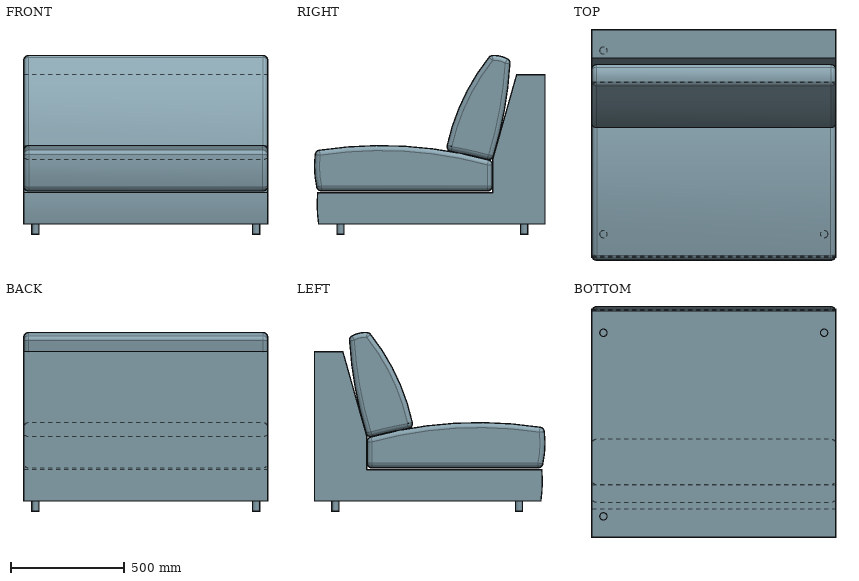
import cadquery as cq

WIDTH = 1080.0
EDGE_RADIUS = 23.0
SIDE_RADIUS = 22.0

LEG_HEIGHT = 45.0
LEG_DIAMETER = 32.0
LEG_X = 488.0
LEG_FRONT_Y = -905.0
LEG_REAR_Y = -93.0

FRAME_TOP_Z = 707.0
FRAME_TOP_DEPTH = 126.0
BACKREST_FOOT_DEPTH = 232.0
BACKREST_FOOT_Z = 333.0
DECK_Z = 185.0
DECK_FRONT_DEPTH = 1007.0
FRAME_BOTTOM_DEPTH = 1002.0
FRAME_FRONT_BULGE_DEPTH = 1009.0

SEAT_GAP = 8.0
SEAT_BOTTOM_Z = DECK_Z + SEAT_GAP
SEAT_REAR_BOTTOM = (-233.0, SEAT_BOTTOM_Z)
SEAT_REAR_TOP = (-233.0, 325.0)
SEAT_CROWN = (-626.0, 391.0)
SEAT_FRONT_TOP = (-1015.0, 370.0)
SEAT_FRONT_BULGE = (-1021.0, 286.0)
SEAT_FRONT_BOTTOM = (-1007.0, SEAT_BOTTOM_Z)

BACK_REAR_BOTTOM = (-238.0, 319.0)
BACK_REAR_BULGE = (-187.0, 513.0)
BACK_REAR_TOP = (-154.0, 769.0)
BACK_TOP_BULGE = (-201.0, 790.0)
BACK_FRONT_TOP = (-243.0, 791.0)
BACK_FRONT_BULGE = (-365.0, 596.0)
BACK_FRONT_BOTTOM = (-440.0, 365.0)


def extrude_across(profile):
    """Extrude a closed YZ profile over the full width, centred on x = 0."""
    return profile.close().extrude(WIDTH / 2, both=True)


def make_frame():
    """L-shaped frame with a sloping backrest and a slightly bowed front."""
    middle_z = (LEG_HEIGHT + DECK_Z) / 2
    profile = (
        cq.Workplane("YZ")
        .moveTo(0, LEG_HEIGHT)
        .lineTo(0, FRAME_TOP_Z)
        .lineTo(-FRAME_TOP_DEPTH, FRAME_TOP_Z)
        .lineTo(-BACKREST_FOOT_DEPTH, BACKREST_FOOT_Z)
        .lineTo(-BACKREST_FOOT_DEPTH, DECK_Z)
        .lineTo(-DECK_FRONT_DEPTH, DECK_Z)
        .threePointArc((-FRAME_FRONT_BULGE_DEPTH, middle_z), (-FRAME_BOTTOM_DEPTH, LEG_HEIGHT))
    )
    return extrude_across(profile)


def make_seat_block():
    """Sharp-edged seat cushion with a crowned top and a bowed front."""
    profile = (
        cq.Workplane("YZ")
        .moveTo(*SEAT_REAR_BOTTOM)
        .lineTo(*SEAT_REAR_TOP)
        .threePointArc(SEAT_CROWN, SEAT_FRONT_TOP)
        .threePointArc(SEAT_FRONT_BULGE, SEAT_FRONT_BOTTOM)
    )
    return extrude_across(profile)


def make_seat_cushion():
    """Seat cushion rounded on every edge."""
    return make_seat_block().edges().fillet(EDGE_RADIUS)


def make_back_cushion():
    """Tapered back cushion whose concave underside follows the seat crown."""
    profile = (
        cq.Workplane("YZ")
        .moveTo(*BACK_REAR_BOTTOM)
        .threePointArc(BACK_REAR_BULGE, BACK_REAR_TOP)
        .threePointArc(BACK_TOP_BULGE, BACK_FRONT_TOP)
        .threePointArc(BACK_FRONT_BULGE, BACK_FRONT_BOTTOM)
    )
    block = extrude_across(profile).cut(make_seat_block())
    rounded = block.edges("|X").fillet(EDGE_RADIUS)
    return rounded.faces("<X or >X").edges().fillet(SIDE_RADIUS)


def make_leg(x, y):
    """Round leg standing on the floor and touching the underside of the frame."""
    return cq.Workplane("XY").center(x, y).circle(LEG_DIAMETER / 2).extrude(LEG_HEIGHT)


frame = make_frame()
seat_cushion = make_seat_cushion()
back_cushion = make_back_cushion()

leg_places = [(-LEG_X, LEG_FRONT_Y), (LEG_X, LEG_FRONT_Y), (-LEG_X, LEG_REAR_Y)]
legs = [make_leg(x, y) for x, y in leg_places]

result = cq.Compound.makeCompound(
    [
        frame.val(),
        seat_cushion.val(),
        back_cushion.val(),
        *[leg.val() for leg in legs],
    ]
)